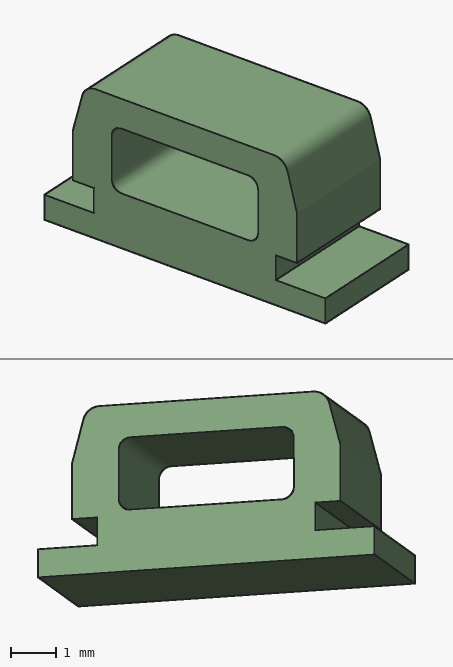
import cadquery as cq
import math

length = 7.82
depth = 3.07
height = 3.81

base_height = 0.64
neck_width = 5.07
neck_height = 0.63

body_width = 6.24
shoulder_z = 2.54
side_lean_degrees = 15.0
top_edge_radius = 0.39

window_width = 4.075
window_height = 1.65
window_floor_z = 1.4
window_radius = 0.28

body_bottom_z = base_height + neck_height
lean_inset = (height - shoulder_z) * math.tan(math.radians(side_lean_degrees))
top_width = body_width - 2 * lean_inset


def make_block(width, block_height, bottom_z):
    """Full-depth block centred on X and Y."""
    return (
        cq.Workplane("XY")
        .box(width, depth, block_height, centered=(True, True, False))
        .translate((0, 0, bottom_z))
    )


def make_body():
    """Upper body with leaning sides and rounded top edges."""
    outline = [
        (-body_width / 2, body_bottom_z),
        (body_width / 2, body_bottom_z),
        (body_width / 2, shoulder_z),
        (top_width / 2, height),
        (-top_width / 2, height),
        (-body_width / 2, shoulder_z),
    ]
    body = cq.Workplane("XZ").polyline(outline).close().extrude(depth / 2, both=True)
    return body.faces(">Z").edges("|Y").fillet(top_edge_radius)


base = make_block(length, base_height, 0)
neck = make_block(neck_width, neck_height, base_height)
window = make_block(window_width, window_height, window_floor_z).edges("|Y").fillet(window_radius)

result = base.union(neck).union(make_body()).cut(window)